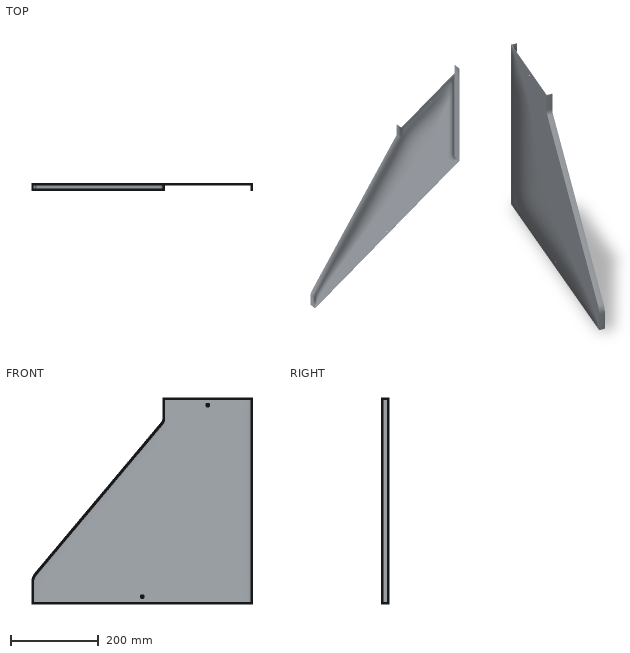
import cadquery as cq

WIDTH = 502.0
DEPTH = 14.0
HEIGHT = 468.0
THICKNESS = 1.0

TOP_EDGE_X = 299.5
LOWER_CORNER_Z = 58.5
UPPER_CORNER_Z = HEIGHT - 51.5
LOWER_BEND_RADIUS = 30.5
UPPER_BEND_RADIUS = 16.5

HOLE_DIAMETER = 5.0
HOLE_EDGE_DISTANCE = 15.0
HOLE_CENTERS = [
    (WIDTH / 2, HOLE_EDGE_DISTANCE),
    ((TOP_EDGE_X + WIDTH) / 2, HEIGHT - HOLE_EDGE_DISTANCE),
]


def make_panel_block():
    """Full-depth block with the panel outline and rounded left corners, back face at Y = DEPTH."""
    block = (
        cq.Workplane("XZ", origin=(0, DEPTH, 0))
        .moveTo(0, 0)
        .lineTo(WIDTH, 0)
        .lineTo(WIDTH, HEIGHT)
        .lineTo(TOP_EDGE_X, HEIGHT)
        .lineTo(TOP_EDGE_X, UPPER_CORNER_Z)
        .lineTo(0, LOWER_CORNER_Z)
        .close()
        .extrude(DEPTH)
    )
    middle = DEPTH / 2
    lower_corner = cq.selectors.NearestToPointSelector((0, middle, LOWER_CORNER_Z))
    upper_corner = cq.selectors.NearestToPointSelector((TOP_EDGE_X, middle, UPPER_CORNER_Z))
    block = block.edges("|Y").edges(lower_corner).fillet(LOWER_BEND_RADIUS)
    return block.edges("|Y").edges(upper_corner).fillet(UPPER_BEND_RADIUS)


def fold_flanges(block):
    """Leave the back sheet with the left and right flanges; the front, top and bottom are open."""
    return block.faces("<Y or <Z or >Z").shell(-THICKNESS)


def drill_holes(panel):
    """Drill the mounting holes through the back sheet."""
    drills = (
        cq.Workplane("XZ", origin=(0, DEPTH, 0))
        .pushPoints(HOLE_CENTERS)
        .circle(HOLE_DIAMETER / 2)
        .extrude(DEPTH)
    )
    return panel.cut(drills)


result = drill_holes(fold_flanges(make_panel_block()))